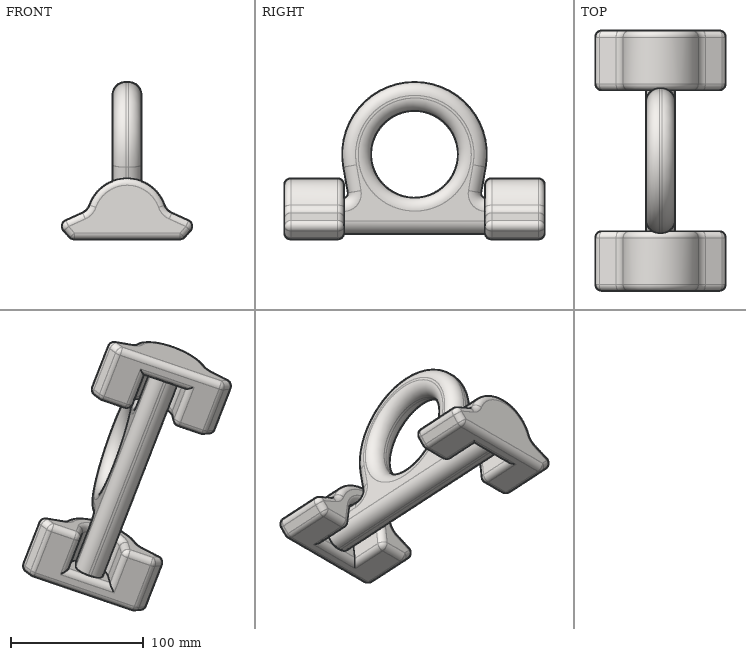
import cadquery as cq
import math

overall_length = 196.0
overall_height = 118.5

foot_width = 98.2
foot_length = 45.0
foot_height = 46.0
dome_radius = 30.0
dome_center = foot_height - dome_radius
valley_round = 10.0
edge_round = valley_round / 2
wing_slope = math.radians(24.5)
wing_tip_height = 10.0
base_round_offset = 39.5

pocket_radius = dome_radius / 2
pocket_depth = 30.0
pocket_taper = math.radians(7)

web_thickness = 22.0
web_round = 10.0
ring_outer_radius = 54.5
ring_inner_radius = ring_outer_radius - web_thickness
ring_height = overall_height - ring_outer_radius
shoulder_taper = math.radians(10)
web_bottom = 4.1
arm_top = 31.4
armpit_round = 3.3
arm_end = overall_length / 2 - foot_length + pocket_depth


def wing_corners():
    """Sharp corners (X, Z) of the right half of the foot: base, tip, and wing top on the axis."""
    tip_x = foot_width / 2 - edge_round
    tip_z = wing_tip_height
    flank_angle = math.atan2(tip_z - edge_round, tip_x - base_round_offset)

    base_x = base_round_offset + edge_round * math.tan(flank_angle / 2)
    half_turn = (math.pi - flank_angle - wing_slope) / 2
    reach = edge_round / math.cos(half_turn)
    outward = wing_slope + half_turn
    corner_x = tip_x + reach * math.sin(outward)
    corner_z = tip_z + reach * math.cos(outward)
    ridge_z = corner_z + corner_x * math.tan(wing_slope)
    return (base_x, 0), (corner_x, corner_z), (0, ridge_z)


def make_pocket(inner_y):
    """Arch-shaped cavity below the dome, flaring towards the base and running in +Y from inner_y."""
    tangent_x = pocket_radius * math.cos(pocket_taper)
    tangent_z = dome_center + pocket_radius * math.sin(pocket_taper)
    base_x = tangent_x + tangent_z * math.tan(pocket_taper)
    return (
        cq.Workplane("XZ", origin=(0, inner_y, 0))
        .moveTo(-base_x, 0)
        .lineTo(-tangent_x, tangent_z)
        .threePointArc((0, dome_center + pocket_radius), (tangent_x, tangent_z))
        .lineTo(base_x, 0)
        .close()
        .extrude(-pocket_depth)
    )


def make_foot():
    """Foot at the +Y end: a hollow dome with a wing on each side, rounded on its outer edges."""
    outer_y = overall_length / 2
    base, tip, ridge = wing_corners()
    outline = [base, tip, ridge, (-tip[0], tip[1]), (-base[0], base[1])]
    plane = cq.Workplane("XZ", origin=(0, outer_y, 0))
    wings = plane.polyline(outline).close().extrude(foot_length)
    dome = (
        plane.moveTo(-dome_radius, dome_center)
        .threePointArc((0, foot_height), (dome_radius, dome_center))
        .close()
        .extrude(foot_length)
    )
    foot = wings.union(dome)

    foot = foot.edges("|Y").edges(">Z").fillet(valley_round)

    foot = foot.cut(make_pocket(outer_y - foot_length))
    wing_tips = foot.edges("<X or >X")
    return foot.faces("<Y or >Y or <Z").edges().add(wing_tips).fillet(edge_round)


def make_web():
    """Ring, tapered shoulders and arms in one plate, rounded along both faces."""
    tangent_y = ring_outer_radius * math.cos(shoulder_taper)
    tangent_z = ring_height - ring_outer_radius * math.sin(shoulder_taper)
    armpit_y = tangent_y - (tangent_z - arm_top) * math.tan(shoulder_taper)
    web = (
        cq.Workplane("YZ", origin=(-web_thickness / 2, 0, 0))
        .moveTo(-arm_end, web_bottom)
        .lineTo(arm_end, web_bottom)
        .lineTo(arm_end, arm_top)
        .lineTo(armpit_y, arm_top)
        .lineTo(tangent_y, tangent_z)
        .threePointArc((0, overall_height), (-tangent_y, tangent_z))
        .lineTo(-armpit_y, arm_top)
        .lineTo(-arm_end, arm_top)
        .close()
        .extrude(web_thickness)
    )

    for armpit in [(0, -armpit_y, arm_top), (0, armpit_y, arm_top)]:
        web = web.edges(cq.selectors.NearestToPointSelector(armpit)).fillet(armpit_round)

    eye = (
        cq.Workplane("YZ", origin=(-web_thickness / 2, 0, ring_height))
        .circle(ring_inner_radius)
        .extrude(web_thickness)
    )
    web = web.cut(eye)

    return web.faces("<X or >X").edges("not(<Y or >Y)").fillet(web_round)


foot = make_foot()
result = make_web().union(foot).union(foot.mirror("XZ"))